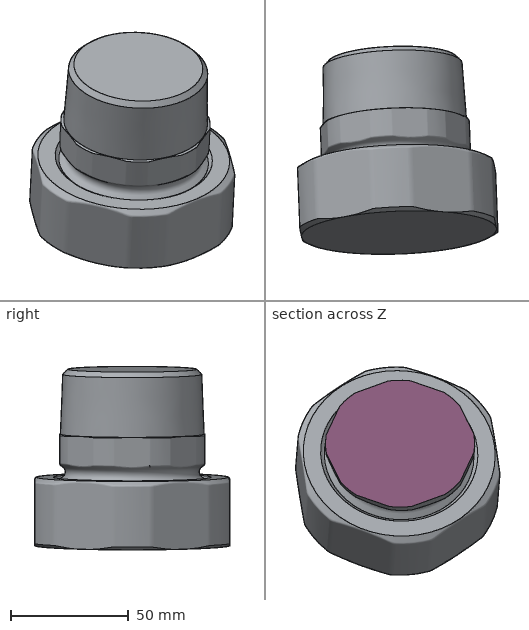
import cadquery as cq
import math

lean_angle = 2.6

nut_across_flats = 82.9
nut_corner_radius = 43.8
nut_height = 29.1
nut_corner_blend = 6.2
nut_chamfer_angle = 30.0
nut_base_face_radius = nut_across_flats / 2
nut_top_face_radius = 40.8
nut_shoulder_round = 1.1

countersink_radius = 33.4
groove_bottom_radius = 31.9
groove_depth = 1.5

waist_radius = 28.55
waist_z = 31.3
neck_cone_radius = 29.7
neck_cone_z = 29.1

collar_across_flats = 61.6
collar_corner_radius = 31.7
collar_corner_blend = 1.8
collar_bottom_z = 33.6
collar_lower_edge_z = 35.0
collar_bottom_radius = 29.7
collar_lower_round = 0.7
collar_top_z = 47.4
collar_upper_chamfer = 0.35

edge_margin = 0.1

plug_base_radius = 30.6
plug_top_radius = 29.6
plug_chamfer = 2.2
plug_top_z = 75.0


def revolve_profile(profile):
    """Turn a half section drawn in the XZ plane about the Z axis."""
    return profile.close().revolve(360, (0, 0, 0), (0, 1, 0))


def polygon_prism(sides, across_flats, corner_radius, blend, z_start, z_end):
    """Regular prism with two flats facing +-Y, corners trimmed round and blended."""
    circumscribed = across_flats / math.cos(math.pi / sides)
    height = z_end - z_start
    turn = 90 - 180 / sides
    prism = cq.Workplane("XY").polygon(sides, circumscribed).extrude(height)
    prism = prism.rotate((0, 0, 0), (0, 0, 1), turn)
    round_bar = cq.Workplane("XY").circle(corner_radius).extrude(height)
    trimmed = prism.intersect(round_bar).edges("|Z").fillet(blend)
    return trimmed.translate((0, 0, z_start))


def round_outline(body, z_low, z_high, radius):
    """Round the edges centred between two heights: the wavy outline where a chamfer meets the sides."""
    reach = nut_across_flats
    band = cq.selectors.BoxSelector((-reach, -reach, z_low), (reach, reach, z_high))
    return body.edges(band).fillet(radius)


def make_nut():
    slope = math.tan(math.radians(nut_chamfer_angle))
    base_chamfer = (nut_corner_radius - nut_base_face_radius) * slope
    top_chamfer = (nut_corner_radius - nut_top_face_radius) * slope
    shoulder_z = nut_height - top_chamfer

    envelope = revolve_profile(
        cq.Workplane("XZ")
        .moveTo(0, 0)
        .lineTo(nut_base_face_radius, 0)
        .lineTo(nut_corner_radius, base_chamfer)
        .lineTo(nut_corner_radius, shoulder_z)
        .lineTo(nut_top_face_radius, nut_height)
        .lineTo(countersink_radius, nut_height)
        .lineTo(groove_bottom_radius, nut_height - groove_depth)
        .lineTo(0, nut_height - groove_depth)
    )
    hexagon = polygon_prism(6, nut_across_flats, nut_corner_radius, nut_corner_blend, 0, nut_height)
    nut = hexagon.intersect(envelope)
    return round_outline(nut, shoulder_z - edge_margin, nut_height - edge_margin, nut_shoulder_round)


def make_neck():
    groove_bottom_z = nut_height - groove_depth
    return revolve_profile(
        cq.Workplane("XZ")
        .moveTo(0, groove_bottom_z)
        .lineTo(groove_bottom_radius, groove_bottom_z)
        .lineTo(neck_cone_radius, neck_cone_z)
        .threePointArc((waist_radius, waist_z), (collar_bottom_radius, collar_bottom_z))
        .lineTo(0, collar_bottom_z)
    )


def make_collar():
    envelope = revolve_profile(
        cq.Workplane("XZ")
        .moveTo(0, collar_bottom_z)
        .lineTo(collar_bottom_radius, collar_bottom_z)
        .lineTo(collar_corner_radius, collar_lower_edge_z)
        .lineTo(collar_corner_radius, collar_top_z - collar_upper_chamfer)
        .lineTo(plug_base_radius, collar_top_z)
        .lineTo(0, collar_top_z)
    )
    octagon = polygon_prism(
        8, collar_across_flats, collar_corner_radius, collar_corner_blend, collar_bottom_z, collar_top_z
    )
    collar = octagon.intersect(envelope)
    return round_outline(
        collar, collar_bottom_z + edge_margin, collar_lower_edge_z + edge_margin, collar_lower_round
    )


def make_plug():
    return revolve_profile(
        cq.Workplane("XZ")
        .moveTo(0, collar_top_z)
        .lineTo(plug_base_radius, collar_top_z)
        .lineTo(plug_top_radius, plug_top_z - plug_chamfer)
        .lineTo(plug_top_radius - plug_chamfer, plug_top_z)
        .lineTo(0, plug_top_z)
    )


upright = make_nut().union(make_neck()).union(make_collar()).union(make_plug())
result = upright.rotate((0, 0, 0), (0, 1, 0), lean_angle)